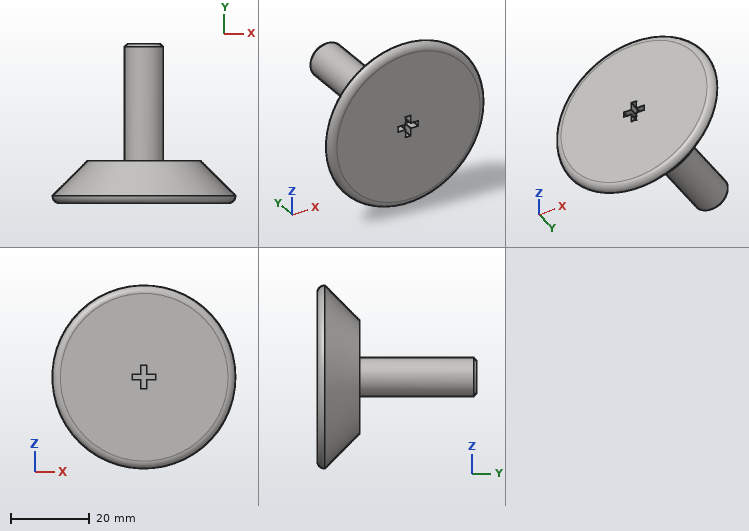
import cadquery as cq

base_radius = 23.5
rim_radius = 2.0
base_height = 11.0
neck_radius = 14.45

total_length = 41.0
shank_radius = 10.0 / 2
tip_chamfer = 0.9

cross_span = 6.0
cross_arm_width = 1.5
cross_depth = 3.0


def make_base():
    """Revolve the disc: flat face, quarter-round rim, then the cone."""
    face_radius = base_radius - rim_radius
    profile = (
        cq.Workplane("XY")
        .lineTo(face_radius, 0)
        .radiusArc((base_radius, rim_radius), -rim_radius)
        .lineTo(neck_radius, base_height)
        .lineTo(0, base_height)
        .close()
    )
    return profile.revolve(360, (0, 0), (0, 1))


def make_shank():
    """Revolve the plain shank with its chamfered tip."""
    profile = (
        cq.Workplane("XY")
        .lineTo(shank_radius, 0)
        .lineTo(shank_radius, total_length - tip_chamfer)
        .lineTo(shank_radius - tip_chamfer, total_length)
        .lineTo(0, total_length)
        .close()
    )
    return profile.revolve(360, (0, 0), (0, 1))


def make_cross_recess():
    """Two crossing bars that run into the base from its flat face."""
    centered = (True, False, True)
    wide_bar = cq.Workplane("XY").box(cross_span, cross_depth, cross_arm_width, centered=centered)
    tall_bar = cq.Workplane("XY").box(cross_arm_width, cross_depth, cross_span, centered=centered)
    return wide_bar.union(tall_bar)


result = make_base().union(make_shank()).cut(make_cross_recess())